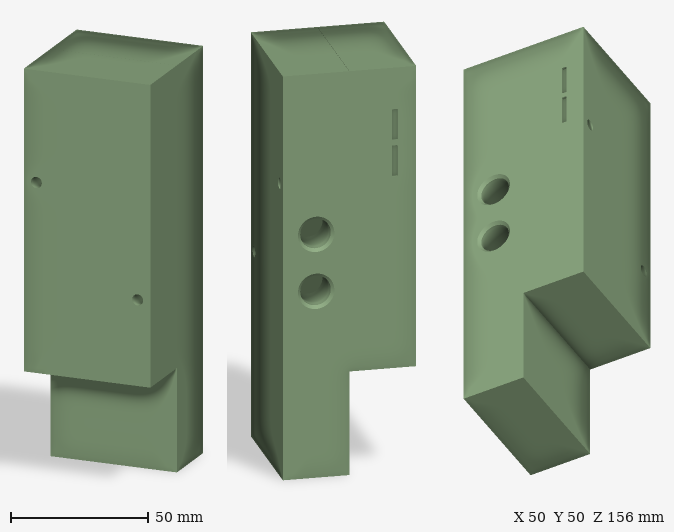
import cadquery as cq

width = 50.0
depth = 50.0
base_height = 40.0
body_height = 86.0
cap_height = 30.0
joint_gap = 0.1

left_x = -width / 2
front_y = -depth / 2
body_top_z = base_height + body_height
total_height = body_top_z + cap_height
half_depth = depth / 2

port_diameter = 11.45
port_chamfer = 1.1
port_depth = 14.0
port_spacing = 22.0
port_y = half_depth / 2
port_middle_z = base_height + body_height / 2

screw_diameter = 12.0
screw_spacing = 14.0
screw_count = 2
screw_edge_distance = 8.0
screw_top_distance = 22.0
screw_y = front_y + screw_edge_distance
screw_upper_z = total_height - screw_top_distance
screw_length = 4.0
slot_width = 2.0
slot_depth = 1.0

mount_diameter = 4.25
mount_edge_distance = 5.0
mount_top_distance = 43.0
mount_x = width / 2 - mount_edge_distance
mount_upper_z = total_height - mount_top_distance
mount_spacing = 40.0


def block(y_min, y_max, z_min, z_max):
    """Full-width block between the given Y and Z limits."""
    size = (width, y_max - y_min, z_max - z_min)
    return cq.Workplane("XY").box(*size, centered=False).translate((left_x, y_min, z_min))


def side_cylinder(diameter, length, y, z):
    """Cylinder running inward along +X from the left face."""
    return cq.Workplane("YZ", origin=(left_x, y, z)).circle(diameter / 2).extrude(length)


def housing():
    """Cover, body and end blocks joined, with the seams kept as edges."""
    cover = block(front_y, 0, base_height, total_height)
    body = block(0, half_depth, base_height, body_top_z)
    base = block(joint_gap, half_depth, 0, base_height)
    cap = block(joint_gap, half_depth, body_top_z, total_height)
    joined = cover
    for piece in (body, base, cap):
        joined = joined.union(piece, clean=False)
    return joined


def port(z):
    """Blind port with a chamfered mouth, as a cutting solid."""
    core_radius = port_diameter / 2
    profile = [
        (0, 0),
        (0, core_radius + port_chamfer),
        (port_chamfer, core_radius),
        (port_depth, core_radius),
        (port_depth, 0),
    ]
    cutter = cq.Workplane("XY").polyline(profile).close().revolve(360, (0, 0, 0), (1, 0, 0))
    return cutter.translate((left_x, port_y, z))


def slotted_screw(z):
    """Screw head flush with the left face, slotted vertically across its diameter."""
    head = side_cylinder(screw_diameter, screw_length, screw_y, z)
    slot = cq.Workplane("XY").box(2 * slot_depth, slot_width, screw_diameter)
    return head.cut(slot.translate((left_x, screw_y, z)))


def mount_hole(x, z):
    """Mounting hole cutter running along Y through the whole part."""
    start = cq.Workplane("XZ", origin=(x, half_depth, z))
    return start.circle(mount_diameter / 2).extrude(depth)


result = housing()

for side in (-1, 1):
    result = result.cut(port(port_middle_z + side * port_spacing / 2), clean=False)

for index in range(screw_count):
    screw_z = screw_upper_z - index * screw_spacing
    pocket = side_cylinder(screw_diameter, screw_length, screw_y, screw_z)
    result = result.cut(pocket, clean=False).union(slotted_screw(screw_z), clean=False)

result = result.cut(mount_hole(-mount_x, mount_upper_z), clean=False)
result = result.cut(mount_hole(mount_x, mount_upper_z - mount_spacing), clean=False)